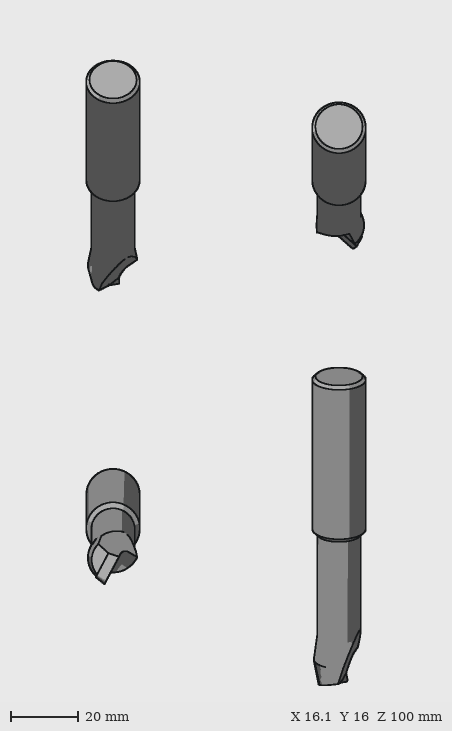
import cadquery as cq
import math

overall_length = 100.0
shank_diameter = 15.99
shank_bottom = 51.0
shank_top_chamfer = 1.0
neck_diameter = 12.98
neck_bottom = 17.0
seam_angle = -135.0

rim_radius = 7.5
rim_height = 9.2
nose_narrowing = 0.15
nose_drift = 0.07
flank_angle = 17.0
flank_yaw = 13.0
flank_x_at_rim = 4.8

insert_side = 8.8
insert_thickness = 3.3
insert_corner_radius = 0.8
insert_relief = 11.0
insert_turn = 15.0
insert_corner = (-5.925, 0.05, -0.18)
face_slope_x = 0.085
face_slope_z = 0.094

seat_relief = 7.0
seat_inset = 0.25

roof_start = (-6.5, 19.2)
roof_middle = (-1.0, 16.8)
roof_end = (4.2, 7.0)
pocket_right = 9.0
pocket_left = -12.0
pocket_floor_z = -10.0
pocket_depth = 12.0
pocket_blend_radius = 1.9

clearance_block = 40.0

face_plane = cq.Plane(
    origin=insert_corner,
    xDir=(1, face_slope_x, 0),
    normal=(face_slope_x, -1, face_slope_z),
)
insert_plane = face_plane.rotated((0, 0, insert_turn))


def make_insert():
    """Cutting insert with its face toward +Y and its lower left corner at the tip."""
    outline = (
        cq.Sketch()
        .push([(insert_side / 2, insert_side / 2)])
        .rect(insert_side, insert_side)
        .reset()
        .vertices()
        .fillet(insert_corner_radius)
    )
    return (
        cq.Workplane(insert_plane)
        .placeSketch(outline)
        .extrude(insert_thickness, taper=insert_relief)
    )


def make_turned_body():
    """Shank, shoulder, neck and the widening part of the head."""
    shank_radius = shank_diameter / 2
    neck_radius = neck_diameter / 2
    shoulder_height = shank_radius - neck_radius
    return (
        cq.Workplane("XZ")
        .moveTo(0, rim_height)
        .lineTo(rim_radius, rim_height)
        .lineTo(neck_radius, neck_bottom)
        .lineTo(neck_radius, shank_bottom - shoulder_height)
        .lineTo(shank_radius, shank_bottom)
        .lineTo(shank_radius, overall_length - shank_top_chamfer)
        .lineTo(shank_radius - shank_top_chamfer, overall_length)
        .lineTo(0, overall_length)
        .close()
        .revolve(360, (0, 0, 0), (0, 1, 0))
        .rotate((0, 0, 0), (0, 0, 1), seam_angle)
    )


def make_nose():
    """Oblique cone from the rim of the head down to the tip."""
    return (
        cq.Workplane("XY", origin=(0, 0, rim_height))
        .circle(rim_radius)
        .workplane(offset=-rim_height)
        .center(nose_drift * rim_height, 0)
        .circle(rim_radius - nose_narrowing * rim_height)
        .loft(ruled=True)
    )


def make_flank_cut():
    """Everything beyond the sloping flat on the +X side of the head."""
    flank_y_at_rim = -math.sqrt(rim_radius**2 - flank_x_at_rim**2)
    return (
        cq.Workplane("XY")
        .box(clearance_block, clearance_block, clearance_block, centered=(False, True, True))
        .rotate((0, 0, 0), (0, 1, 0), flank_angle)
        .rotate((0, 0, 0), (0, 0, 1), flank_yaw)
        .translate((flank_x_at_rim, flank_y_at_rim, rim_height))
    )


def make_seat_cut():
    """Everything outside the two relieved faces that meet behind the cutting corner of the insert."""
    inset_plane = cq.Workplane(insert_plane).center(seat_inset, seat_inset)
    below_end = (
        inset_plane.transformed(rotate=(-seat_relief, 0, 0))
        .center(0, -clearance_block / 2)
        .box(clearance_block, clearance_block, clearance_block)
    )
    beside_edge = (
        inset_plane.transformed(rotate=(0, seat_relief, 0))
        .center(-clearance_block / 2, 0)
        .box(clearance_block, clearance_block, clearance_block)
    )
    return below_end.union(beside_edge)


def make_pocket():
    """Material removed in front of the insert face, with a blended roof."""

    def local(point):
        return (point[0] - insert_corner[0], point[1] - insert_corner[2])

    return (
        cq.Workplane(face_plane)
        .moveTo(*local(roof_start))
        .threePointArc(local(roof_middle), local(roof_end))
        .lineTo(*local((pocket_right, roof_end[1])))
        .lineTo(*local((pocket_right, pocket_floor_z)))
        .lineTo(*local((pocket_left, pocket_floor_z)))
        .lineTo(*local((pocket_left, roof_start[1])))
        .close()
        .extrude(-pocket_depth)
        .faces(cq.selectors.NearestToPointSelector(insert_corner))
        .edges("%CIRCLE")
        .fillet(pocket_blend_radius)
    )


insert = make_insert()
holder = (
    make_turned_body()
    .union(make_nose())
    .cut(make_flank_cut())
    .cut(make_seat_cut())
    .cut(make_pocket())
    .cut(insert)
)

result = cq.Compound.makeCompound([holder.val(), insert.val()])